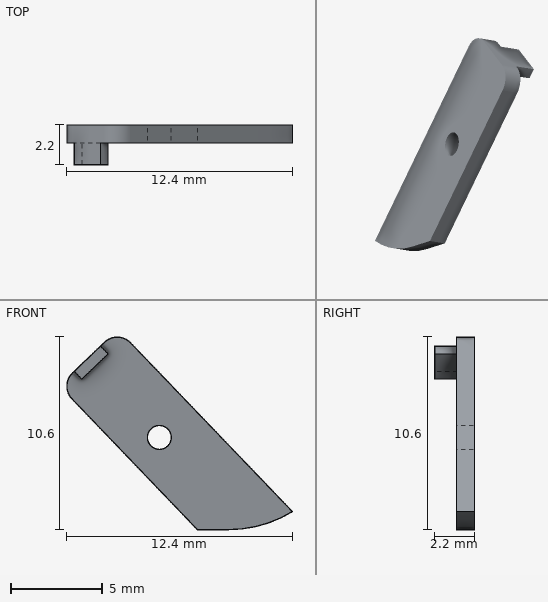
import cadquery as cq
import math

plate_thickness = 1.0
hole_diameter = 1.3

lean_angle = 43.8
hole_to_lower_side = 2.0
hole_to_upper_side = 2.46
hole_to_end = 5.86
end_corner_radius = 1.0

hole_to_foot = 5.07
foot_radius = 6.7
foot_curve_start_x = 3.8

tab_length = 2.0
tab_width = 0.6
tab_height = 1.2
tab_offset = 0.14

lean_sin = math.sin(math.radians(lean_angle))
lean_cos = math.cos(math.radians(lean_angle))


def blade_point(across, along):
    """XZ position from distances across and along the leaning blade."""
    x = across * lean_cos - along * lean_sin
    z = across * lean_sin + along * lean_cos
    return x, z


def foot_curve_point(angle):
    """Point on the foot curve, at an angle in radians from its tangent start."""
    x = foot_curve_start_x + foot_radius * math.sin(angle)
    z = -hole_to_foot + foot_radius * (1 - math.cos(angle))
    return x, z


def tip_angle():
    """Angle along the foot curve at which it meets the upper side of the blade."""
    center_z = foot_radius - hole_to_foot
    center_across = foot_curve_start_x * lean_cos + center_z * lean_sin
    side_offset = hole_to_upper_side - center_across
    return math.radians(lean_angle) + math.asin(side_offset / foot_radius)


def xz_sketch_plane(y):
    """Sketch plane parallel to XZ at the given y, whose extrusions run toward -Y."""
    return cq.Workplane("XZ", origin=(0, y, 0))


def make_plate():
    foot_corner_along = (lean_sin * hole_to_lower_side - hole_to_foot) / lean_cos
    foot_corner = blade_point(-hole_to_lower_side, foot_corner_along)
    lower_end = blade_point(-hole_to_lower_side, hole_to_end)
    upper_end = blade_point(hole_to_upper_side, hole_to_end)
    end_angle = tip_angle()
    plate = (
        xz_sketch_plane(plate_thickness)
        .moveTo(*foot_corner)
        .lineTo(foot_curve_start_x, -hole_to_foot)
        .threePointArc(foot_curve_point(end_angle / 2), foot_curve_point(end_angle))
        .lineTo(*upper_end)
        .lineTo(*lower_end)
        .close()
        .extrude(plate_thickness)
    )
    for x, z in (lower_end, upper_end):
        corner = cq.selectors.NearestToPointSelector((x, plate_thickness / 2, z))
        plate = plate.edges("|Y").edges(corner).fillet(end_corner_radius)
    return plate


def make_hole():
    return xz_sketch_plane(plate_thickness).circle(hole_diameter / 2).extrude(plate_thickness)


def make_tab():
    center = blade_point(tab_offset, hole_to_end - tab_width / 2)
    return (
        xz_sketch_plane(plate_thickness)
        .center(*center)
        .transformed(rotate=(0, 0, lean_angle))
        .rect(tab_length, tab_width)
        .extrude(plate_thickness + tab_height)
    )


result = make_plate().union(make_tab()).cut(make_hole())